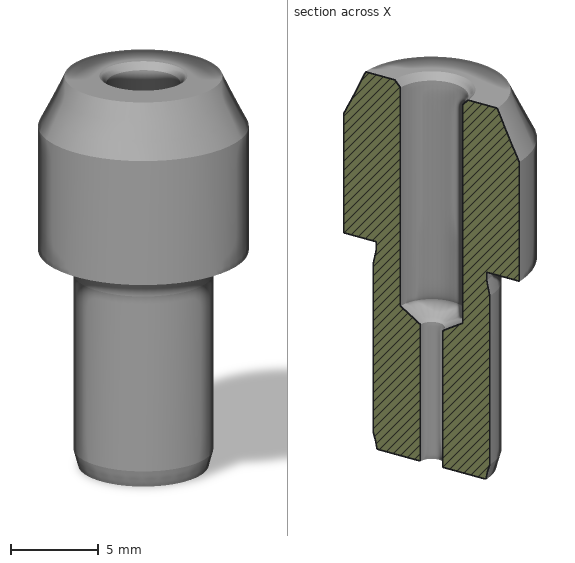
import cadquery as cq
import math

height = 23.5
head_diameter = 12.0
head_top_diameter = 9.0
neck_diameter = 7.57
shank_diameter = 8.0
tip_diameter = 7.45

head_length = 10.5
head_taper_length = 3.0
neck_length = 0.47
neck_flare_length = 0.95
tip_taper_length = 1.0

bore_diameter = 4.2
bore_mouth_diameter = 5.0
pilot_diameter = 1.5
bore_depth = 14.1
bore_point_angle = 118.0

shoulder_z = height - head_length
neck_bottom_z = shoulder_z - neck_length
shank_top_z = neck_bottom_z - neck_flare_length
head_taper_z = height - head_taper_length

mouth_z = height - (bore_mouth_diameter - bore_diameter) / 2
bore_bottom_z = height - bore_depth
point_length = (bore_diameter - pilot_diameter) / 2 / math.tan(math.radians(bore_point_angle / 2))


def revolved(steps):
    """Solid of revolution about Z from (diameter, z) steps listed upward."""
    outline = [(0, steps[0][1])]
    outline += [(diameter / 2, z) for diameter, z in steps]
    outline.append((0, steps[-1][1]))
    return cq.Workplane("XZ").polyline(outline).close().revolve(360, (0, 0, 0), (0, 1, 0))


body = revolved([
    (tip_diameter, 0),
    (shank_diameter, tip_taper_length),
    (shank_diameter, shank_top_z),
    (neck_diameter, neck_bottom_z),
    (neck_diameter, shoulder_z),
    (head_diameter, shoulder_z),
    (head_diameter, head_taper_z),
    (head_top_diameter, height),
])

bore = revolved([
    (pilot_diameter, 0),
    (pilot_diameter, bore_bottom_z - point_length),
    (bore_diameter, bore_bottom_z),
    (bore_diameter, mouth_z),
    (bore_mouth_diameter, height),
])

result = body.cut(bore)